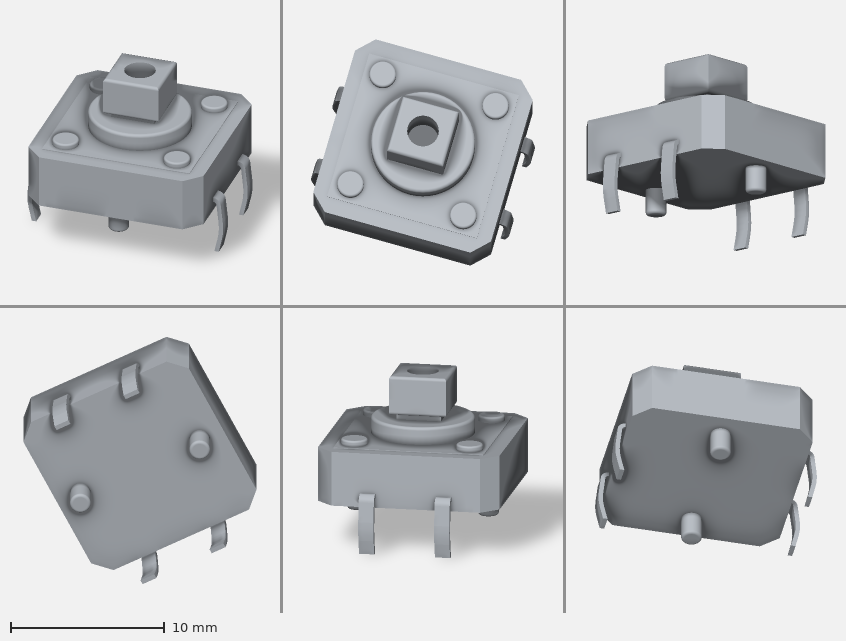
import cadquery as cq
import math

body_width = 12.01
body_corner = 1.09
body_bottom = 3.03
body_height = 3.61
body_top = body_bottom + body_height

plate_length = 10.12
plate_width = 9.95
plate_thickness = 0.047
plate_top = body_top + plate_thickness

stud_diameter = 1.73
stud_offset = 3.81
stud_top = 7.07
stud_round = 0.13

collar_diameter = 6.75
collar_top = 7.84
edge_round = 0.2

neck_width = 2.95
cap_width = 3.8
cap_bottom = 8.21
cap_top = 10.79
bore_diameter = 2.05
bore_depth = cap_top - cap_bottom

peg_diameter = 1.34
peg_offset = 4.33
peg_bottom = 1.35
peg_round = 0.19

lead_span = 13.42
lead_width = 1.0
lead_thickness = 0.3
lead_offset = 2.51
lead_top = 3.97
bulge_radius = 3.81
bulge_height = 1.77
shank_lean = math.radians(6.3)
toe_lean = math.radians(12.7)


def square_block(width, bottom, top):
    return cq.Workplane("XY").workplane(offset=bottom).rect(width, width).extrude(top - bottom)


def discs(diameter, bottom, top, centers):
    base = cq.Workplane("XY").workplane(offset=bottom)
    return base.pushPoints(centers).circle(diameter / 2).extrude(top - bottom)


def on_circle(center, radius, angle):
    return (center[0] + radius * math.cos(angle), center[1] + radius * math.sin(angle))


def make_housing():
    block = square_block(body_width, body_bottom, body_top).edges("|Z").chamfer(body_corner)
    plate = (
        cq.Workplane("XY")
        .workplane(offset=body_top)
        .rect(plate_length, plate_width)
        .extrude(plate_thickness)
    )
    return block.union(plate)


def make_studs():
    centers = [(x, y) for x in (-stud_offset, stud_offset) for y in (-stud_offset, stud_offset)]
    return discs(stud_diameter, plate_top, stud_top, centers).faces(">Z").edges().fillet(stud_round)


def make_collar():
    return discs(collar_diameter, plate_top, collar_top, [(0, 0)]).faces(">Z").edges().fillet(edge_round)


def make_plunger():
    neck = square_block(neck_width, collar_top, cap_bottom)
    cap = square_block(cap_width, cap_bottom, cap_top).edges("#Z").fillet(edge_round)
    bore = discs(bore_diameter, cap_top - bore_depth, cap_top, [(0, 0)])
    return neck.union(cap).cut(bore)


def make_pegs():
    centers = [(0, -peg_offset), (0, peg_offset)]
    return discs(peg_diameter, peg_bottom, body_bottom, centers).faces("<Z").edges().fillet(peg_round)


def make_lead(y_center):
    """Lead on the +X side, an XZ strip whose two faces share the same bend centers."""
    heel_x = body_width / 2
    bulge_center = (lead_span / 2 - bulge_radius, bulge_height)

    heel_radius = (
        bulge_radius
        + (bulge_center[0] - heel_x) * math.cos(shank_lean)
        + (bulge_height - lead_top) * math.sin(shank_lean)
    ) / (1 - math.sin(shank_lean))
    heel_center = (heel_x, lead_top - heel_radius)
    heel_middle = (math.pi / 2 + shank_lean) / 2
    bulge_middle = (shank_lean - toe_lean) / 2

    def face_points(inset):
        heel = heel_radius - inset
        bulge = bulge_radius - inset
        toe_start = on_circle(bulge_center, bulge, -toe_lean)
        return {
            "heel_start": on_circle(heel_center, heel, math.pi / 2),
            "heel_middle": on_circle(heel_center, heel, heel_middle),
            "heel_end": on_circle(heel_center, heel, shank_lean),
            "bulge_start": on_circle(bulge_center, bulge, shank_lean),
            "bulge_middle": on_circle(bulge_center, bulge, bulge_middle),
            "toe_start": toe_start,
            "tip": (toe_start[0] - toe_start[1] * math.tan(toe_lean), 0),
        }

    outer = face_points(0)
    inner = face_points(lead_thickness)
    return (
        cq.Workplane("XZ", origin=(0, y_center, 0))
        .moveTo(*outer["heel_start"])
        .threePointArc(outer["heel_middle"], outer["heel_end"])
        .lineTo(*outer["bulge_start"])
        .threePointArc(outer["bulge_middle"], outer["toe_start"])
        .lineTo(*outer["tip"])
        .lineTo(*inner["tip"])
        .lineTo(*inner["toe_start"])
        .threePointArc(inner["bulge_middle"], inner["bulge_start"])
        .lineTo(*inner["heel_end"])
        .threePointArc(inner["heel_middle"], inner["heel_start"])
        .close()
        .extrude(lead_width / 2, both=True)
    )


result = make_housing()
for feature in (make_studs(), make_collar(), make_plunger(), make_pegs()):
    result = result.union(feature)

for lead_y in (-lead_offset, lead_offset):
    lead = make_lead(lead_y)
    result = result.union(lead).union(lead.mirror("YZ"))